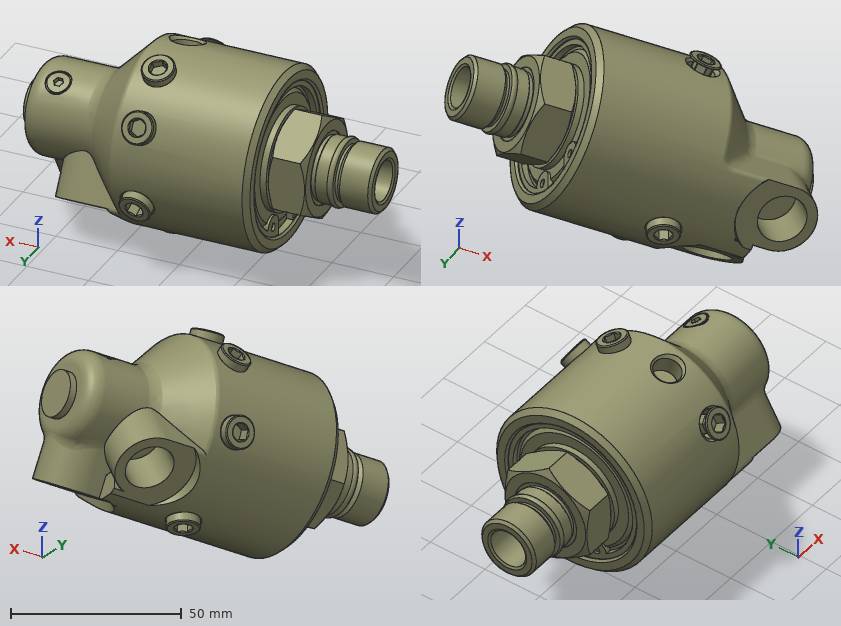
import cadquery as cq
import math


nose_dia = 20.0
nose_chamfer = 0.9
nose_end_x = 10.0
undercut_dia = 17.7
undercut_start_x = 11.15
oring_start_x = 12.0
oring_end_x = 13.9
oring_dia = 21.6
shoulder_dia = 20.8
shoulder_end_x = 17.8
relief_dia = 20.0
hex_start_x = 18.8
face_groove_dia = 22.6
face_groove_depth = 0.4
hex_end_x = 30.9
hex_across_flats = 30.0
hex_crown_dia = 29.4
hex_crown_length = 1.6
collar_dia = 32.2
collar_end_x = 45.0
rotor_bore_dia = 12.7
rotor_bore_mouth_dia = 14.2
rotor_bore_chamfer = 0.5

body_radius = 28.5
body_start_x = 31.1
front_chamfer_length = 1.8
front_chamfer_height = 1.6
cone_start_x = 75.5
hub_radius = 15.0
cone_end_x = 88.5
neck_fillet = 5.0
hub_end_x = 111.4
hub_fillet = 5.0
end_boss_dia = 14.5
overall_length = 113.66

recess_dia = 47.07
recess_mouth_radius = 24.2
recess_mouth_chamfer = 0.7
ring_face_x = body_start_x + 1.0
cover_face_x = ring_face_x + 0.8
recess_floor_x = cover_face_x + 1.2
cover_face_radius = 19.8
cover_outer_radius = 21.0
ring_inner_radius = 21.9
ring_gap_half_width = 4.9
lug_y = 8.6
lug_z = -18.64
lug_radius = 3.7
lug_hole_dia = 2.48

port_tilt = 60.0
port_x = {-1: 100.3, 1: 89.1}
boss_radius = 10.7
boss_root_x = 74.0
port_face_distance = 25.75
port_dia = 14.95
port_depth = 14.0
spotface_radius = 14.2
spotface_flare = 1.0
web_width = 8.0
web_end_x = 95.5
web_tip_height = 7.0
boss_root_fillet = 4.0
boss_edge_fillet = 1.6

drain_x = 67.7
drain_dia = 8.92
drain_mouth_dia = 11.2
drain_depth = 7.0
open_drain_angle = 107.0
plug_angles = (66.5, 30.0, -21.0, -90.0)
flanged_plug_angle = 150.0
plug_dia = 10.1
plug_top_radius = 30.93
plug_chamfer = 0.35
plug_socket_flats = 5.0
plug_socket_depth = 4.0
socket_lead_in = 0.4
flange_thickness = 0.5
neck_flats = 5.6

screw_x = 102.2
screw_angle = 60.0
screw_hole_dia = 8.0
screw_dia = 7.0
screw_recess = 0.8
screw_socket_dia = 3.1
screw_socket_depth = 1.5


def corner_dia(across_flats):
    """Across-corners size of a hexagon."""
    return across_flats / math.cos(math.radians(30))


def radial_plane(x, angle, radius):
    """Plane at a radius, facing outward, with local x around the axis and local y along +X."""
    a = math.radians(angle)
    outward = (0, math.cos(a), math.sin(a))
    around = (0, -math.sin(a), math.cos(a))
    origin = (x, radius * outward[1], radius * outward[2])
    return cq.Plane(origin=origin, xDir=around, normal=outward)


def revolve_about_x(points):
    """Revolve an outline of (x, radius) points about the X axis."""
    outline = cq.Workplane("XY").polyline(points).close()
    return outline.revolve(360, (0, 0, 0), (1, 0, 0))


def cylinder_x(radius, x_start, x_end):
    return cq.Workplane("YZ", origin=(x_start, 0, 0)).circle(radius).extrude(x_end - x_start)


def make_rotor():
    nose_r = nose_dia / 2
    undercut_r = undercut_dia / 2
    shoulder_r = shoulder_dia / 2
    outline = (
        cq.Workplane("XY")
        .moveTo(0, 0)
        .lineTo(0, nose_r - nose_chamfer)
        .lineTo(nose_chamfer, nose_r)
        .lineTo(nose_end_x, nose_r)
        .lineTo(undercut_start_x, undercut_r)
        .lineTo(oring_start_x, undercut_r)
        .lineTo(oring_start_x, shoulder_r)
        .threePointArc(((oring_start_x + oring_end_x) / 2, oring_dia / 2), (oring_end_x, shoulder_r))
        .lineTo(shoulder_end_x, shoulder_r)
        .lineTo(shoulder_end_x, relief_dia / 2)
        .lineTo(hex_start_x, relief_dia / 2)
        .lineTo(hex_start_x, 0)
        .close()
    )
    rotor = outline.revolve(360, (0, 0, 0), (1, 0, 0))

    hexagon = (
        cq.Workplane("YZ", origin=(hex_start_x, 0, 0))
        .transformed(rotate=(0, 0, 90))
        .polygon(6, corner_dia(hex_across_flats))
        .extrude(hex_end_x - hex_start_x)
    )
    crown_r = hex_crown_dia / 2
    corner_r = corner_dia(hex_across_flats) / 2
    crown = revolve_about_x([
        (hex_start_x, 0),
        (hex_start_x, crown_r),
        (hex_start_x + hex_crown_length, corner_r),
        (hex_end_x - hex_crown_length, corner_r),
        (hex_end_x, crown_r),
        (hex_end_x, 0),
    ])
    rotor = rotor.union(hexagon.intersect(crown))
    face_groove = cylinder_x(face_groove_dia / 2, hex_start_x, hex_start_x + face_groove_depth)
    rotor = rotor.cut(face_groove.cut(cylinder_x(relief_dia / 2, 0, hex_end_x)))
    rotor = rotor.union(cylinder_x(collar_dia / 2, hex_end_x, collar_end_x))

    bore_r = rotor_bore_dia / 2
    bore = revolve_about_x([
        (0, 0),
        (0, rotor_bore_mouth_dia / 2),
        (rotor_bore_chamfer, bore_r),
        (collar_end_x, bore_r),
        (collar_end_x, 0),
    ])
    return rotor.cut(bore)


def make_shell():
    """Stepped outside of the housing, without its recess, ports and bosses."""
    shell = revolve_about_x([
        (body_start_x, 0),
        (body_start_x, body_radius - front_chamfer_height),
        (body_start_x + front_chamfer_length, body_radius),
        (cone_start_x, body_radius),
        (cone_end_x, hub_radius),
        (hub_end_x, hub_radius),
        (hub_end_x, 0),
    ])

    def circle_edge(x):
        return cq.selectors.BoxSelector(
            (x - 0.1, -body_radius - 1, -body_radius - 1),
            (x + 0.1, body_radius + 1, body_radius + 1),
        )

    shell = shell.edges(circle_edge(cone_end_x)).fillet(neck_fillet)
    shell = shell.edges(circle_edge(hub_end_x)).fillet(hub_fillet)
    return shell.rotate((0, 0, 0), (1, 0, 0), 90)


def port_plane(side, distance):
    angle = -port_tilt if side > 0 else port_tilt - 180
    return radial_plane(port_x[side], angle, distance)


def make_boss(side):
    """Round-ended block under the hub, running out to the body diameter."""
    length = port_x[side] - boss_root_x
    block = (
        cq.Workplane(port_plane(side, 0))
        .moveTo(-boss_radius, 0)
        .threePointArc((0, boss_radius), (boss_radius, 0))
        .lineTo(boss_radius, -length)
        .lineTo(-boss_radius, -length)
        .close()
        .extrude(body_radius + 1)
    )
    return block.intersect(cylinder_x(body_radius, boss_root_x, overall_length))


def side_face_offset(point):
    """Distance from a port's mid plane, equal to boss_radius on the outer flat of either boss."""
    a = math.radians(90 - port_tilt)
    return abs(point.y) * math.cos(a) + point.z * math.sin(a)


def is_root_edge(edge):
    """True for an edge where the -Y boss meets the cone, the neck or the hub."""
    box = edge.BoundingBox()
    middle = edge.positionAt(0.5)
    radius = math.hypot(middle.y, middle.z)
    if middle.y > 0 or box.xlen < 0.01 or radius > body_radius - 0.3:
        return False
    on_flat = abs(side_face_offset(middle) - boss_radius) < 0.02
    on_round_end = (
        middle.x > port_x[-1] + 1
        and radius < hub_radius + 0.1
        and box.xmax < port_x[-1] + boss_radius + 0.1
        and -hub_radius < middle.z < -1
        and middle.y < -0.3
    )
    return on_flat or on_round_end


def is_outer_boss_edge(edge):
    """True for an edge between a boss flat and the surface at the body radius."""
    middle = edge.positionAt(0.5)
    on_flat = abs(side_face_offset(middle) - boss_radius) < 0.02
    at_body_radius = abs(math.hypot(middle.y, middle.z) - body_radius) < 0.02
    return on_flat and at_body_radius and middle.x > cone_start_x + 1


def make_web(start_x, end_x, height):
    """Bottom web that closes the gap between the two bosses, rising from the body radius."""
    web = (
        cq.Workplane("XY")
        .box(end_x - start_x, web_width, height, centered=(False, True, False))
        .translate((start_x, 0, -body_radius))
    )
    return web.intersect(cylinder_x(body_radius, start_x, end_x))


def add_bosses(shell):
    """Join both bosses and the web; the edge fillet also rounds the shoulder above the cone."""
    shell = shell.union(make_boss(-1))
    roots = [edge for edge in shell.edges().vals() if is_root_edge(edge)]
    shell = shell.newObject(roots).fillet(boss_root_fillet)

    shell = shell.union(make_boss(1)).union(make_web(boss_root_x, port_x[1], body_radius))
    outer = [edge for edge in shell.edges().vals() if is_outer_boss_edge(edge)]
    shell = shell.newObject(outer).fillet(boss_edge_fillet)
    return shell.union(make_web(port_x[1], web_end_x, web_tip_height))


def make_port_cut(side):
    """Round spotface with a flared wall, and the blind port in its floor."""
    spotface = (
        cq.Workplane(port_plane(side, port_face_distance))
        .circle(spotface_radius)
        .workplane(offset=body_radius - port_face_distance)
        .circle(spotface_radius + spotface_flare)
        .loft()
    )
    port = (
        cq.Workplane(port_plane(side, port_face_distance - port_depth))
        .circle(port_dia / 2)
        .extrude(port_depth)
    )
    return spotface.union(port)


def make_recess():
    """Stepped recess in the front face, leaving a raised bearing cover in the middle."""
    recess_r = recess_dia / 2
    mouth = revolve_about_x([
        (body_start_x, 0),
        (body_start_x, recess_mouth_radius),
        (body_start_x + recess_mouth_chamfer, recess_r),
        (recess_floor_x, recess_r),
        (recess_floor_x, cover_outer_radius),
        (cover_face_x, cover_face_radius),
        (cover_face_x, 0),
    ])
    return mouth.union(cylinder_x(collar_dia / 2, body_start_x, collar_end_x))


def make_retaining_ring():
    """Internal retaining ring with two drilled lugs, open at the bottom."""
    depth = recess_floor_x - ring_face_x
    front = cq.Workplane("YZ", origin=(ring_face_x, 0, 0))
    outside = cylinder_x(recess_dia / 2, ring_face_x, recess_floor_x)
    ring = outside.cut(cylinder_x(ring_inner_radius, ring_face_x, recess_floor_x))
    lug_places = [(-lug_y, lug_z), (lug_y, lug_z)]
    lugs = front.pushPoints(lug_places).circle(lug_radius).extrude(depth)
    lug_sides = (
        front.center(0, lug_z - lug_radius)
        .rect(2 * lug_y, 2 * lug_radius)
        .extrude(depth)
    )
    lugs = lugs.union(lug_sides)
    ring = ring.union(lugs.intersect(outside))
    gap = front.center(0, -recess_dia / 2).rect(2 * ring_gap_half_width, recess_dia / 2).extrude(depth)
    holes = front.pushPoints(lug_places).circle(lug_hole_dia / 2).extrude(cover_face_x - ring_face_x)
    return ring.cut(gap).cut(holes)


def make_drain_hole(angle):
    """Blind radial hole with a 45 degree countersink at the body surface."""
    hole = (
        cq.Workplane(radial_plane(drain_x, angle, body_radius - drain_depth))
        .circle(drain_dia / 2)
        .extrude(drain_depth + 1)
    )
    countersink_depth = (drain_mouth_dia - drain_dia) / 2
    countersink = (
        cq.Workplane(radial_plane(drain_x, angle, body_radius - countersink_depth))
        .circle(drain_dia / 2)
        .workplane(offset=countersink_depth)
        .circle(drain_mouth_dia / 2)
        .loft()
    )
    return hole.union(countersink)


def make_plug_head(angle, bottom_radius, top_radius):
    """Round disc with a chamfered top edge."""
    outward = radial_plane(drain_x, angle, 0).zDir
    return (
        cq.Workplane(radial_plane(drain_x, angle, bottom_radius))
        .circle(plug_dia / 2)
        .extrude(top_radius - bottom_radius)
        .faces(cq.selectors.DirectionMinMaxSelector(outward))
        .chamfer(plug_chamfer)
    )


def make_plug_socket(angle, top_radius):
    """Hexagon socket with a round lead-in."""
    socket = (
        cq.Workplane(radial_plane(drain_x, angle, top_radius - plug_socket_depth))
        .polygon(6, corner_dia(plug_socket_flats))
        .extrude(plug_socket_depth)
    )
    lead_in = (
        cq.Workplane(radial_plane(drain_x, angle, top_radius - socket_lead_in))
        .circle(plug_socket_flats / 2)
        .workplane(offset=socket_lead_in)
        .circle(corner_dia(plug_socket_flats) / 2)
        .loft()
    )
    return socket.union(lead_in)


def make_plug(angle):
    """Cylindrical plug seated in a drain hole."""
    bottom = body_radius - drain_depth
    shank = (
        cq.Workplane(radial_plane(drain_x, angle, bottom))
        .circle(drain_dia / 2)
        .extrude(plug_top_radius - plug_chamfer - bottom)
    )
    seat_radius = body_radius - (drain_mouth_dia - drain_dia) / 2
    plug = shank.union(make_plug_head(angle, seat_radius, plug_top_radius))
    return plug.cut(make_plug_socket(angle, plug_top_radius))


def make_flanged_plug(angle):
    """Plug with a hexagonal neck and a thin round flange on top."""
    bottom = body_radius - drain_depth
    neck = (
        cq.Workplane(radial_plane(drain_x, angle, bottom))
        .polygon(6, corner_dia(neck_flats))
        .extrude(plug_top_radius - bottom)
    )
    flange = make_plug_head(angle, plug_top_radius - flange_thickness, plug_top_radius)
    return neck.union(flange).cut(make_plug_socket(angle, plug_top_radius))


def make_set_screw_cut():
    """Ring groove around the flush set screw in the hub, with the screw's hexagon socket."""
    floor = hub_radius - screw_recess
    groove = (
        cq.Workplane(radial_plane(screw_x, screw_angle, floor))
        .circle(screw_hole_dia / 2)
        .circle(screw_dia / 2)
        .extrude(2 * screw_recess)
    )
    socket = (
        cq.Workplane(radial_plane(screw_x, screw_angle, hub_radius - screw_socket_depth))
        .transformed(rotate=(0, 0, 90))
        .polygon(6, screw_socket_dia)
        .extrude(2 * screw_socket_depth)
    )
    return groove.union(socket)


def make_housing():
    housing = add_bosses(make_shell())
    for side in port_x:
        housing = housing.cut(make_port_cut(side))
    housing = housing.cut(make_recess()).union(make_retaining_ring())
    for angle in (open_drain_angle, flanged_plug_angle, *plug_angles):
        housing = housing.cut(make_drain_hole(angle))
    for angle in plug_angles:
        housing = housing.union(make_plug(angle))
    housing = housing.union(make_flanged_plug(flanged_plug_angle))
    housing = housing.cut(make_set_screw_cut())
    return housing.union(cylinder_x(end_boss_dia / 2, hub_end_x, overall_length))


rotor = make_rotor()
housing = make_housing()
result = cq.Compound.makeCompound([rotor.val(), housing.val()])